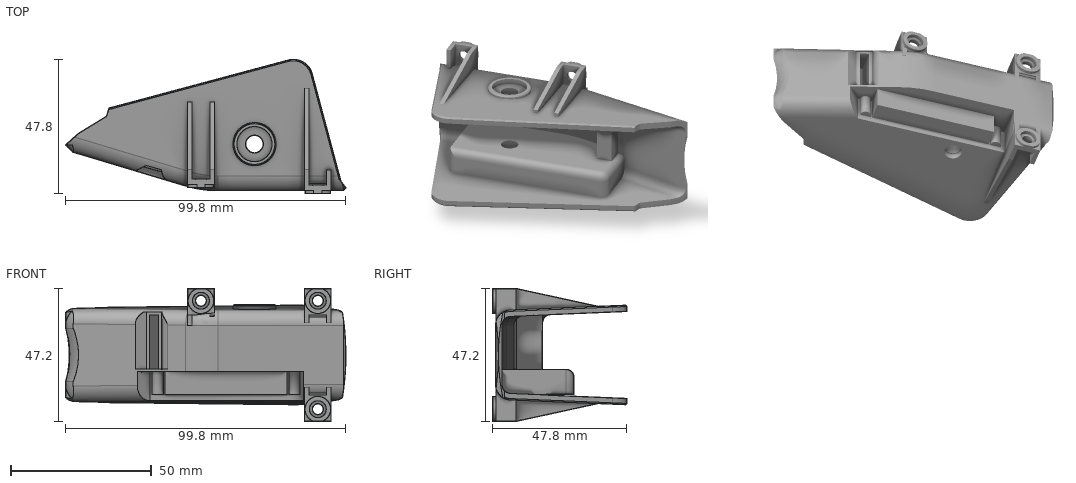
import cadquery as cq
import math

LENGTH = 99.77
DEPTH = 47.75
HALF_HEIGHT = 23.6
BEYOND = 10.0

WALL = 2.3
FRONT_Y = 1.0
BEND_X = 54.2
BEND_RADIUS = 40.0
BEND_ANGLE = math.radians(16.7)
SIDE_Z = 15.75
DRAFT_SLOPE = math.tan(math.radians(2.4))
FRONT_FILLET = 5.5
RIM_CHAMFER = 0.5

RIM_TILT = math.radians(15)
RIM_CORNER_RADIUS = 7.0
RIM_CORNER_X = 81.0
STEP_TOP_X = 15.4
STEP_BOTTOM = (14.5, 27.5)
TIP_SHOULDER = (4.7, 21.5)
TIP_Y = 17.3
FLARE_TOP_Y = 4.2
FLARE_TIP_Y = 2.0
FLARE_FOOT_X = 98.8
TIP_HOLLOW_DEPTH = 1.3
TIP_HOLLOW_HALF = 9.5
TIP_CORNER_MID = (0.4, 12.8)
TIP_CORNER_END = (3.4, 16.4)
NOSE_END_X = 2.7
END_CROWN_RADIUS = 93.0

LUG_Z = 19.3
LUG_WIDTH = 9.5
LUG_PLATE = 1.9
LUG_BOSS_RADIUS = 4.55
LUG_BOSS_HEIGHT = 1.1
LUG_HOLE_RADIUS = 1.9
LUG_COUNTERBORE_RADIUS = 3.0
LUG_COUNTERBORE_DEPTH = 1.4
LUG_PLATE_FOOT_Z = 14.3
LUG_STEP_HEIGHT = 1.7
LUG_STEP_DROP = 0.8
LUG_STEP_SETBACK = 0.5
LUG_STEP_DEPTH = 0.9
RIB_THICKNESS = 1.6
RIB_FOOT_Z = 10.4
RIB_FLAT_END_Y = 8.6
RIB_RUNOUT_Y = 36.6
RIB_RUNOUT_Z = 17.5
LEFT_LUG_X = 48.15
LEFT_LUG_Y = 2.1
LEFT_LUG_RIB_END = 32.5
RIGHT_LUG_X = 89.75
RIGHT_LUG_Y = 0.0
RIGHT_LUG_LONG_RIB_END = 38.2
RIGHT_LUG_SHORT_RIB_END = 8.3

RING_CENTRE = (67.2, 17.6)
RING_TOP_Z = 17.9
RING_RADIUS = 7.65
RING_CHAMFER = 0.4
RING_BORE_RADIUS = 6.25
RING_FLOOR_Z = 15.9
RING_HOLE_RADIUS = 3.1

NOTCH_X = (24.8, 36.2)
NOTCH_FLOOR_X = (28.7, 34.2)
NOTCH_DEPTH = 3.0
NOTCH_Z = (-5.0, 15.2)
NOTCH_POCKET_X = (29.8, 33.0)
NOTCH_POCKET_FLOOR_Y = 16.5
NOTCH_POCKET_TOP_Z = 14.3
NOTCH_ROUNDING = 0.3
NOTCH_BACKING = 1.2

SLOT_X = (25.5, 84.7)
SLOT_FLARE_X = 30.0
SLOT_FLOOR_Y = 12.5
SLOT_TOP_Z = -5.9
HOUSING_X = (26.5, 86.3)
HOUSING_REAR_Y = 28.9
HOUSING_Z = (-14.0, -5.1)
HOUSING_FILLET = 2.8
BLOCK_X = (35.3, 78.8)
BLOCK_FRONT_Y = 6.1
POST_RADIUS = 2.0
POST_X = (32.8, 81.4)


def side_z(y):
    """Half height of the drafted shell at depth y."""
    return SIDE_Z + DRAFT_SLOPE * y


def front_y(x, inset=0.0):
    """Y of the slanted front wall face, moved inwards by inset."""
    radius = BEND_RADIUS - inset
    bend_end_x = BEND_X - radius * math.sin(BEND_ANGLE)
    bend_end_y = FRONT_Y + BEND_RADIUS - radius * math.cos(BEND_ANGLE)
    return bend_end_y + (bend_end_x - x) * math.tan(BEND_ANGLE)


def extrude_plan(sketch, z_low, z_high):
    return sketch.extrude(z_high - z_low).translate((0, 0, z_low))


def box(x_range, y_range, z_range):
    ranges = (x_range, y_range, z_range)
    size = [high - low for low, high in ranges]
    corner = [low for low, high in ranges]
    return cq.Workplane("XY").box(*size, centered=False).translate(tuple(corner))


def cylinder_y(radius, x, z, y_low, y_high):
    """Cylinder along Y."""
    disc = cq.Workplane("XZ", origin=(x, y_low, z)).circle(radius)
    return disc.extrude(y_low - y_high)


def filleted_wedge(inset, fillet):
    """Drafted body behind the bent front wall, with its front corners rounded."""
    radius = BEND_RADIUS - inset
    left, right, rear = -BEYOND, LENGTH + BEYOND, DEPTH + BEYOND
    centre_y = FRONT_Y + BEND_RADIUS

    def on_bend(angle):
        return (BEND_X - radius * math.sin(angle), centre_y - radius * math.cos(angle))

    plan = (
        cq.Workplane("XY")
        .moveTo(left, rear)
        .lineTo(left, front_y(left, inset))
        .lineTo(*on_bend(BEND_ANGLE))
        .threePointArc(on_bend(BEND_ANGLE / 2), on_bend(0))
        .lineTo(right, FRONT_Y + inset)
        .lineTo(right, rear)
        .close()
    )
    body = extrude_plan(plan, -HALF_HEIGHT, HALF_HEIGHT)
    section = [
        (0, side_z(0) - inset),
        (rear, side_z(rear) - inset),
        (rear, inset - side_z(rear)),
        (0, inset - side_z(0)),
    ]
    drafted = cq.Workplane("YZ", origin=(left, 0, 0)).polyline(section).close()
    body = body.intersect(drafted.extrude(right - left))
    front_edges = cq.selectors.BoxSelector(
        (left + 1, -BEYOND, -HALF_HEIGHT), (right - 1, DEPTH / 2, HALF_HEIGHT)
    )
    return body.edges(front_edges).edges("not #XY").edges("not |Z").fillet(fillet)


outer_wedge = filleted_wedge(0, FRONT_FILLET)
inner_wedge = filleted_wedge(WALL, FRONT_FILLET - WALL)


def plan_outline():
    """Outline of the cover seen from above, from the left tip around the rear rim."""
    sine, cosine = math.sin(RIM_TILT), math.cos(RIM_TILT)
    centre_y = DEPTH - RIM_CORNER_RADIUS
    arc_start = (RIM_CORNER_X - RIM_CORNER_RADIUS * sine, centre_y + RIM_CORNER_RADIUS * cosine)
    arc_end = (RIM_CORNER_X + RIM_CORNER_RADIUS * cosine, centre_y + RIM_CORNER_RADIUS * sine)
    step_top = (STEP_TOP_X, arc_start[1] - (arc_start[0] - STEP_TOP_X) * math.tan(RIM_TILT))
    flare_top = (arc_end[0] + (arc_end[1] - FLARE_TOP_Y) * math.tan(RIM_TILT), FLARE_TOP_Y)
    return (
        cq.Workplane("XY")
        .moveTo(0, TIP_Y)
        .lineTo(*TIP_SHOULDER)
        .lineTo(*STEP_BOTTOM)
        .lineTo(*step_top)
        .lineTo(*arc_start)
        .threePointArc((RIM_CORNER_X, DEPTH), arc_end)
        .lineTo(*flare_top)
        .lineTo(LENGTH, FLARE_TIP_Y)
        .lineTo(FLARE_FOOT_X, FRONT_Y)
        .lineTo(FLARE_FOOT_X, -BEYOND)
        .lineTo(0, -BEYOND)
        .close()
    )


def sweep_from_tip(profile, target):
    """Sweep an X-Z profile in plan from the tip towards and past the target point."""
    target_x, target_y = target
    sweep = cq.Vector(target_x, target_y - TIP_Y, 0) * 2
    return cq.Workplane(cq.Solid.extrudeLinear(profile.val(), [], sweep))


def tip_hollow():
    """Shallow hollow that makes the end face of the front wall concave."""
    profile = (
        cq.Workplane("XZ", origin=(0, TIP_Y, 0))
        .moveTo(0, TIP_HOLLOW_HALF)
        .threePointArc((TIP_HOLLOW_DEPTH, 0), (0, -TIP_HOLLOW_HALF))
        .close()
    )
    return sweep_from_tip(profile, TIP_SHOULDER)


def nose_bevel():
    """Bevel from the tip to the slanted front face, hollow in the middle, round at the corners."""
    mid_x, mid_z = TIP_CORNER_MID
    end_x, end_z = TIP_CORNER_END
    profile = (
        cq.Workplane("XZ", origin=(0, TIP_Y, 0))
        .moveTo(-BEYOND, HALF_HEIGHT)
        .lineTo(end_x, HALF_HEIGHT)
        .lineTo(end_x, end_z)
        .threePointArc((mid_x, mid_z), (0, TIP_HOLLOW_HALF))
        .threePointArc((TIP_HOLLOW_DEPTH, 0), (0, -TIP_HOLLOW_HALF))
        .threePointArc((mid_x, -mid_z), (end_x, -end_z))
        .lineTo(end_x, -HALF_HEIGHT)
        .lineTo(-BEYOND, -HALF_HEIGHT)
        .close()
    )
    return sweep_from_tip(profile, (NOSE_END_X, front_y(NOSE_END_X)))


def shell():
    """Open C-shaped shell trimmed to the plan outline."""
    body = outer_wedge.cut(inner_wedge)
    body = body.intersect(extrude_plan(plan_outline(), -HALF_HEIGHT, HALF_HEIGHT))
    body = body.cut(tip_hollow()).cut(nose_bevel())
    return body.intersect(cylinder_y(END_CROWN_RADIUS, LENGTH - END_CROWN_RADIUS, 0, -BEYOND, DEPTH))


def chamfer_rim(body):
    """Bevel the outer edges of the rear rim on both side walls."""

    def on_rim(edge):
        centre = edge.Center()
        at_outer_face = abs(abs(centre.z) - side_z(centre.y)) < WALL / 4
        behind_step = centre.y > TIP_SHOULDER[1] and centre.x > STEP_TOP_X
        return at_outer_face and behind_step

    return body.edges().filter(on_rim).chamfer(RIM_CHAMFER)


def notch_plan(offset):
    """Notch outline in plan, its floor moved inwards from the slanted wall by offset."""
    lift = offset / math.cos(BEND_ANGLE)
    mouth_left, mouth_right = NOTCH_X
    floor_left, floor_right = NOTCH_FLOOR_X
    flank_mid = floor_right + NOTCH_ROUNDING * (mouth_right - floor_right)
    return (
        cq.Workplane("XY")
        .moveTo(mouth_left, front_y(mouth_left))
        .lineTo(floor_left, front_y(floor_left) + lift)
        .lineTo(floor_right, front_y(floor_right) + lift)
        .threePointArc(
            (flank_mid, front_y(flank_mid) + NOTCH_ROUNDING * lift),
            (mouth_right, front_y(mouth_right)),
        )
        .lineTo(mouth_right, -BEYOND)
        .lineTo(mouth_left, -BEYOND)
        .close()
    )


def add_notch(body):
    low, high = NOTCH_Z
    left, right = NOTCH_POCKET_X
    pocket = box(NOTCH_POCKET_X, (FRONT_Y, NOTCH_POCKET_FLOOR_Y), (low, NOTCH_POCKET_TOP_Z))
    backing = box(
        (left - NOTCH_BACKING, right + NOTCH_BACKING),
        (FRONT_Y, NOTCH_POCKET_FLOOR_Y + NOTCH_BACKING),
        (low - NOTCH_BACKING, high),
    )
    flared_backing = extrude_plan(notch_plan(NOTCH_DEPTH + NOTCH_BACKING), low - NOTCH_BACKING, high)
    backing = backing.union(flared_backing).intersect(outer_wedge)
    flared_mouth = extrude_plan(notch_plan(NOTCH_DEPTH), low, high)
    return body.union(backing).cut(flared_mouth).cut(pocket)


def add_slot(body):
    """Cut the lower front corner away and close it with the housing, its posts and the block."""
    slot_left, slot_right = SLOT_X
    slot_points = [
        (slot_left, -BEYOND),
        (slot_left, front_y(slot_left)),
        (SLOT_FLARE_X, SLOT_FLOOR_Y),
        (slot_right, SLOT_FLOOR_Y),
        (slot_right, -BEYOND),
    ]
    slot_plan = cq.Workplane("XY").polyline(slot_points).close()

    housing = box(HOUSING_X, (FRONT_Y, HOUSING_REAR_Y), HOUSING_Z)
    left_rear_edges = "(<X and >Y) or (<X and >Z) or (>Y and >Z) or (>X and >Y)"
    housing = housing.edges(left_rear_edges).fillet(HOUSING_FILLET)
    housing = housing.intersect(outer_wedge)
    body = body.union(housing).cut(extrude_plan(slot_plan, -HALF_HEIGHT, SLOT_TOP_Z))

    bottom, overlap = HOUSING_Z[0], SLOT_TOP_Z + WALL / 4
    body = body.union(box(BLOCK_X, (BLOCK_FRONT_Y, SLOT_FLOOR_Y + WALL), (bottom, overlap)))
    for post_x in POST_X:
        post = cq.Workplane("XY").center(post_x, SLOT_FLOOR_Y).circle(POST_RADIUS)
        body = body.union(extrude_plan(post, bottom, overlap))
    return body


def add_ring(body):
    """Raised ring with a flat recessed floor and a hole through both side walls."""
    base_z = side_z(RING_CENTRE[1]) - WALL / 2
    ring = cq.Workplane("XY", origin=(*RING_CENTRE, base_z)).circle(RING_RADIUS)
    ring = ring.extrude(RING_TOP_Z - base_z).faces(">Z").edges().chamfer(RING_CHAMFER)
    floor = cq.Workplane("XY", origin=(*RING_CENTRE, RING_FLOOR_Z))
    bore = floor.circle(RING_BORE_RADIUS).extrude(BEYOND)
    hole = floor.circle(RING_HOLE_RADIUS).extrude(-2 * HALF_HEIGHT)
    return body.union(ring).cut(bore).cut(hole)


def rib(x_left, foot_y, plate_y, rib_end):
    """Gusset from the lug plate back along the side wall, with a foot below the plate."""
    slope = (RIB_RUNOUT_Z - HALF_HEIGHT) / (RIB_RUNOUT_Y - RIB_FLAT_END_Y)
    points = [
        (plate_y, RIB_FOOT_Z),
        (plate_y, HALF_HEIGHT),
        (RIB_FLAT_END_Y, HALF_HEIGHT),
        (DEPTH, HALF_HEIGHT + slope * (DEPTH - RIB_FLAT_END_Y)),
        (DEPTH, RIB_FOOT_Z),
    ]
    profile = cq.Workplane("YZ", origin=(x_left, 0, 0)).polyline(points).close()
    x_range = (x_left, x_left + RIB_THICKNESS)
    kept = box(x_range, (plate_y, rib_end), (RIB_FOOT_Z, HALF_HEIGHT))
    foot = box(x_range, (foot_y, rib_end), (RIB_FOOT_Z, LUG_PLATE_FOOT_Z))
    return profile.extrude(RIB_THICKNESS).intersect(kept).union(foot)


def lug(x, boss_y, rib_foot_y, left_rib_end, right_rib_end):
    """Screw lug on the upper side: a plate with a round boss, held by two ribs."""
    plate_y = boss_y + LUG_BOSS_HEIGHT
    left, right = x - LUG_WIDTH / 2, x + LUG_WIDTH / 2
    body = box((left, right), (plate_y, plate_y + LUG_PLATE), (LUG_PLATE_FOOT_Z, HALF_HEIGHT))
    step_foot = LUG_PLATE_FOOT_Z - LUG_STEP_DROP
    step_z = (step_foot, step_foot + LUG_STEP_HEIGHT)
    step_y = (plate_y + LUG_STEP_SETBACK, plate_y + LUG_PLATE + LUG_STEP_DEPTH)
    body = body.union(box((left, right), step_y, step_z))
    body = body.union(rib(left, rib_foot_y, plate_y, left_rib_end))
    body = body.union(rib(right - RIB_THICKNESS, rib_foot_y, plate_y, right_rib_end))
    body = body.cut(inner_wedge)
    boss = cylinder_y(LUG_BOSS_RADIUS, x, LUG_Z, boss_y, plate_y + LUG_PLATE)
    body = body.union(boss.intersect(box((left, right), (boss_y, DEPTH), (0, HALF_HEIGHT))))
    sunk_y = boss_y + LUG_COUNTERBORE_DEPTH
    body = body.cut(cylinder_y(LUG_COUNTERBORE_RADIUS, x, LUG_Z, boss_y, sunk_y))
    return body.cut(cylinder_y(LUG_HOLE_RADIUS, x, LUG_Z, boss_y, plate_y + LUG_PLATE))


right_lug = lug(
    RIGHT_LUG_X,
    RIGHT_LUG_Y,
    RIGHT_LUG_Y + LUG_BOSS_HEIGHT,
    RIGHT_LUG_LONG_RIB_END,
    RIGHT_LUG_SHORT_RIB_END,
)
left_lug = lug(LEFT_LUG_X, LEFT_LUG_Y, LEFT_LUG_Y, LEFT_LUG_RIB_END, LEFT_LUG_RIB_END)

result = chamfer_rim(shell())
result = add_notch(result)
result = add_slot(result)
result = add_ring(result)
for screw_lug in (left_lug, right_lug, right_lug.mirror("XY")):
    result = result.union(screw_lug)